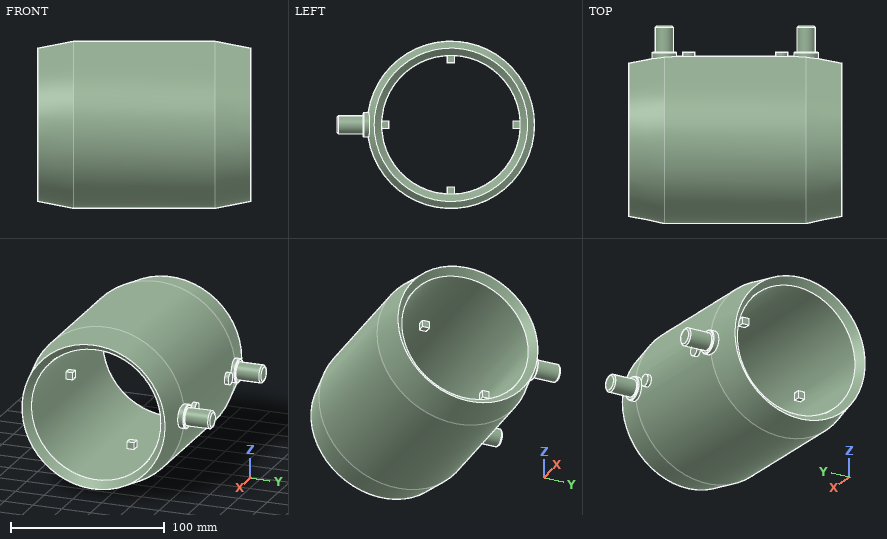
import cadquery as cq

length = 138.5
outer_radius = 54.4
end_radius = 49.9
bore_radius = 45.0
taper_length = 23.1
bore_flare_depth = 4.8
half_length = length / 2
straight_half_length = half_length - taper_length
straight_bore_half_length = half_length - bore_flare_depth

pin_diameter = 12.0
pin_tip_y = 74.1
pin_chamfer = 1.1
pin_offset = straight_half_length
collar_diameter = 16.0
collar_top_y = 57.0
collar_chamfer = 0.5

button_diameter = 8.0
button_offset = 30.2
button_top_y = collar_top_y

tab_size = 5.0
tab_projection = 4.7
tab_count = 4

root_radius = (bore_radius + end_radius) / 2


def make_sleeve():
    """Revolve the tapered wall section about the X axis."""
    return (
        cq.Workplane("XY")
        .moveTo(-half_length, end_radius)
        .lineTo(-straight_half_length, outer_radius)
        .lineTo(straight_half_length, outer_radius)
        .lineTo(half_length, end_radius)
        .lineTo(straight_bore_half_length, bore_radius)
        .lineTo(-straight_bore_half_length, bore_radius)
        .close()
        .revolve(360, (0, 0, 0), (1, 0, 0))
    )


def make_post(x, diameter, top_y):
    """Round post along Y, rooted in the sleeve wall."""
    post = cq.Solid.makeCylinder(
        diameter / 2, top_y - root_radius, cq.Vector(x, root_radius, 0), cq.Vector(0, 1, 0)
    )
    return cq.Workplane(post)


def make_terminal(x):
    """Chamfered pin standing on a wider collar."""
    pin = make_post(x, pin_diameter, pin_tip_y).faces(">Y").chamfer(pin_chamfer)
    collar = make_post(x, collar_diameter, collar_top_y).faces(">Y").chamfer(collar_chamfer)
    return pin.union(collar)


def make_tab(angle):
    """Square tab projecting inward from the bore wall, turned about X."""
    inner_radius = bore_radius - tab_projection
    height = root_radius - inner_radius
    tab = cq.Workplane("XY").box(tab_size, tab_size, height)
    return tab.translate((0, 0, inner_radius + height / 2)).rotate((0, 0, 0), (1, 0, 0), angle)


result = make_sleeve()
for side in (-1, 1):
    result = result.union(make_terminal(side * pin_offset))
    result = result.union(make_post(side * button_offset, button_diameter, button_top_y))
for index in range(tab_count):
    result = result.union(make_tab(index * 360 / tab_count))